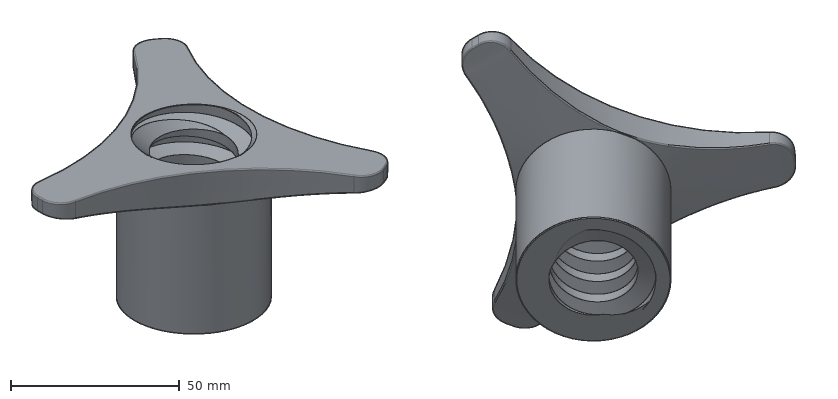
import cadquery as cq
import math

total_height = 55.0
boss_radius = 46.0 / 2
boss_edge_chamfer = 0.3

arm_count = 3
arm_angle = 360 / arm_count
arm_reach = 60.0
tip_corner_radius = 7.0
tip_flat_half_width = 1.2
gap_distance = boss_radius
head_depth = 11.5
underside_slope = 10.0
head_edge_radius = 0.4

thread_major_radius = 37.0 / 2
thread_minor_radius = 26.36 / 2
thread_pitch = 10.0
thread_flank_angle = 15.0
thread_pitch_radius = 31.0 / 2
thread_start_angle = 90.0
thread_start_depth = thread_pitch / 4
mouth_clearance = 0.15
mouth_radius = thread_major_radius + mouth_clearance

overlap = 1.0


def polar(radius, degrees):
    angle = math.radians(degrees)
    return (radius * math.cos(angle), radius * math.sin(angle))


def local_to_plan(along, across, degrees):
    """Point at `along` in the direction `degrees` and `across` to its left."""
    forward = polar(along, degrees)
    sideways = polar(across, degrees + 90)
    return (forward[0] + sideways[0], forward[1] + sideways[1])


def toward(start, end, distance):
    """Point at `distance` from `start` on the way to `end`."""
    fraction = distance / math.dist(start, end)
    return tuple(a + (b - a) * fraction for a, b in zip(start, end))


def head_outline():
    """Arms with rounded tips, joined by concave arcs tangent to the tip corners."""
    half = arm_angle / 2
    corner_along = arm_reach - tip_corner_radius
    corner_x, corner_y = local_to_plan(corner_along, tip_flat_half_width, -half)
    gap_offset = gap_distance - corner_x
    gap_radius = (tip_corner_radius**2 - gap_offset**2 - corner_y**2) / (
        2 * (gap_offset - tip_corner_radius)
    )

    first_arm = -90.0
    sketch = cq.Workplane("XY").moveTo(*local_to_plan(arm_reach, -tip_flat_half_width, first_arm))
    for index in range(arm_count):
        arm = first_arm + index * arm_angle
        gap_center = polar(gap_distance + gap_radius, arm + half)
        near_corner = local_to_plan(corner_along, tip_flat_half_width, arm)
        far_corner = local_to_plan(corner_along, -tip_flat_half_width, arm + arm_angle)
        leave = toward(near_corner, gap_center, tip_corner_radius)
        arrive = toward(far_corner, gap_center, tip_corner_radius)
        sketch = (
            sketch.lineTo(*local_to_plan(arm_reach, tip_flat_half_width, arm))
            .radiusArc(leave, -tip_corner_radius)
            .threePointArc(polar(gap_distance, arm + half), arrive)
            .radiusArc(local_to_plan(arm_reach, -tip_flat_half_width, arm + arm_angle), -tip_corner_radius)
        )
    return sketch.close()


def make_head():
    """Arm prism trimmed underneath by a cone about Z, with softened edges."""
    slope = math.tan(math.radians(underside_slope))
    underside_at_boss = total_height - head_depth
    cone_tip_z = underside_at_boss - boss_radius * slope
    rim_radius = arm_reach + overlap
    envelope = (
        cq.Workplane("XZ")
        .moveTo(0, cone_tip_z)
        .lineTo(rim_radius, cone_tip_z + rim_radius * slope)
        .lineTo(rim_radius, total_height)
        .lineTo(0, total_height)
        .close()
        .revolve(360, (0, 0), (0, 1))
    )
    prism = head_outline().extrude(total_height)
    return prism.intersect(envelope).edges("not |Z").fillet(head_edge_radius)


def make_boss():
    boss = cq.Workplane("XY").circle(boss_radius).extrude(total_height - head_depth)
    return boss.faces("<Z").edges().chamfer(boss_edge_chamfer)


def make_bore():
    """Through bore at the minor diameter, running past both ends."""
    return (
        cq.Workplane("XY")
        .workplane(offset=-overlap)
        .circle(thread_minor_radius)
        .extrude(total_height + 2 * overlap)
    )


def make_mouth():
    """45 degree cone from the minor diameter up to the mouth diameter at the top face."""
    throat_z = total_height - (mouth_radius - thread_minor_radius)
    return (
        cq.Workplane("XZ")
        .moveTo(0, throat_z - overlap)
        .lineTo(thread_minor_radius - overlap, throat_z - overlap)
        .lineTo(mouth_radius + overlap, total_height + overlap)
        .lineTo(0, total_height + overlap)
        .close()
        .revolve(360, (0, 0), (0, 1))
    )


def make_thread_groove():
    """Trapezoid swept along a helix that runs out past both ends of the bore."""
    flank = math.tan(math.radians(thread_flank_angle))
    inner_radius = thread_minor_radius - overlap
    outer_half = thread_pitch / 4 - (thread_major_radius - thread_pitch_radius) * flank
    inner_half = thread_pitch / 4 + (thread_pitch_radius - inner_radius) * flank
    turns = math.ceil(total_height / thread_pitch) + 2
    helix_height = turns * thread_pitch
    helix = cq.Wire.makeHelix(thread_pitch, helix_height, thread_pitch_radius)
    groove = (
        cq.Workplane("XZ")
        .moveTo(inner_radius, -inner_half)
        .lineTo(thread_major_radius, -outer_half)
        .lineTo(thread_major_radius, outer_half)
        .lineTo(inner_radius, inner_half)
        .close()
        .sweep(cq.Workplane("XY").add(helix), isFrenet=True)
    )
    helix_top = total_height - thread_start_depth + thread_pitch
    return groove.rotate((0, 0, 0), (0, 0, 1), thread_start_angle).translate((0, 0, helix_top - helix_height))


body = make_head().union(make_boss())
threaded = body.cut(make_thread_groove()).cut(make_bore())
result = threaded.cut(make_mouth())